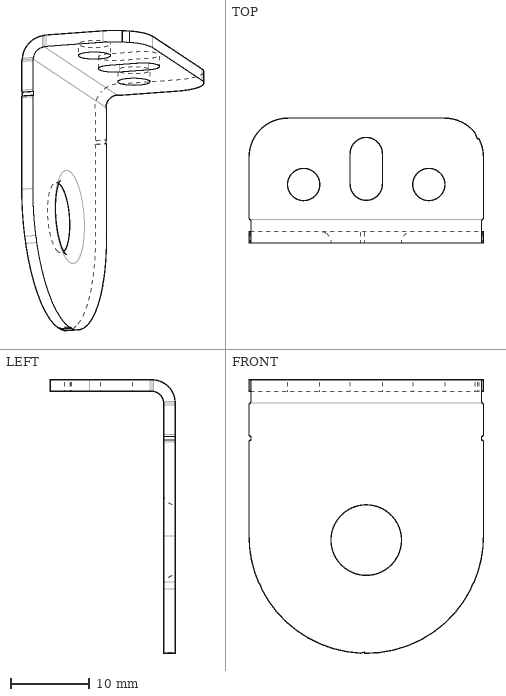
import cadquery as cq
import math

width = 30.0
height = 35.0
depth = 16.0
thickness = 1.5
bend_outer_radius = 3.0
bend_inner_radius = bend_outer_radius - thickness
half_width = width / 2

wall_hole_diameter = 9.0
wall_hole_drop = 20.5
wall_hole_rear_radius = 1.47

flange_corner_radius = 5.0
flange_hole_y = 7.5
small_hole_diameter = 4.1
small_hole_spacing = 16.0
slot_length = 8.0
slot_width = 4.1
slot_y = 9.5

relief_depth = 0.25
relief_half_run = 0.25
edge_notch_drop = 7.5

round_dimple_drop = 26.32
round_dimple_length = 0.98
round_dimple_depth = 0.07
flange_nick_length = 0.9
flange_nick_depth = 0.18
flange_nick_angle = 28.5
bottom_nick_x = -0.2
bottom_nick_length = 0.6
bottom_nick_depth = 0.15


def bent_sheet():
    """L-shaped sheet with a rounded bend, extruded across the width."""
    diagonal = 1 - math.sqrt(0.5)
    outer_mid = bend_outer_radius * diagonal
    inner_mid = thickness + bend_inner_radius * diagonal
    return (
        cq.Workplane("YZ")
        .moveTo(0, -height)
        .lineTo(0, -bend_outer_radius)
        .threePointArc((outer_mid, -outer_mid), (bend_outer_radius, 0))
        .lineTo(depth, 0)
        .lineTo(depth, -thickness)
        .lineTo(bend_outer_radius, -thickness)
        .threePointArc((inner_mid, -inner_mid), (thickness, -bend_outer_radius))
        .lineTo(thickness, -height)
        .close()
        .extrude(half_width, both=True)
    )


def relief_tool(plane, start, end, thick):
    """Cutter for a left-edge relief on local axes.

    The edge lies on local x = 0 with material on the +x side. The S-shaped
    entry is centred on local y = start. The cutter then runs past local y = end.
    """
    half_depth = relief_depth / 2
    radius = (relief_half_run**2 + half_depth**2) / relief_depth
    half_sweep = math.asin(relief_half_run / radius) / 2
    mid_run = radius * math.sin(half_sweep)
    mid_rise = radius * (1 - math.cos(half_sweep))
    first = start - relief_half_run
    last = start + relief_half_run
    return (
        cq.Workplane(plane)
        .moveTo(0, first)
        .threePointArc((mid_rise, first + mid_run), (half_depth, start))
        .threePointArc((relief_depth - mid_rise, last - mid_run), (relief_depth, last))
        .lineTo(relief_depth, end + relief_half_run)
        .lineTo(-relief_depth, end + relief_half_run)
        .lineTo(-relief_depth, first)
        .close()
        .extrude(thick)
    )


def both_sides(tool):
    return tool.union(tool.mirror("YZ"))


def bend_relief():
    """Narrows the bend slightly, with soft steps where it meets the flat legs."""
    reach = bend_outer_radius - relief_half_run
    wall_plane = cq.Plane((-half_width, reach, 0), (1, 0, 0), (0, -1, 0))
    wall_tool = relief_tool(wall_plane, -bend_outer_radius, 0, reach)
    flange_plane = cq.Plane((-half_width, 0, 0), (1, 0, 0), (0, 0, -1))
    flange_tool = relief_tool(flange_plane, -bend_outer_radius, -reach, reach)
    return both_sides(wall_tool.union(flange_tool))


def notch_tool():
    """Symmetric shallow notch through the wall, centred on the origin of its edge."""
    plane = cq.Plane((0, thickness, 0), (1, 0, 0), (0, -1, 0))
    half = relief_tool(plane, -relief_half_run, 0, thickness)
    return half.union(half.mirror("XY"))


def wall_outline():
    """Wall with a full-round lower end; the upper part leaves the flange untouched."""
    return (
        cq.Workplane("XZ")
        .moveTo(-half_width, 0)
        .lineTo(-half_width, half_width - height)
        .threePointArc((0, -height), (half_width, half_width - height))
        .lineTo(half_width, 0)
        .close()
        .extrude(-depth)
    )


def flange_holes():
    pair = (
        cq.Workplane("XY")
        .pushPoints([(side * small_hole_spacing / 2, flange_hole_y) for side in (-1, 1)])
        .circle(small_hole_diameter / 2)
        .extrude(-thickness)
    )
    slot = cq.Workplane("XY").center(0, slot_y).slot2D(slot_length, slot_width, 90).extrude(-thickness)
    return pair.union(slot)


def wall_hole():
    """Straight-sided cutter; its rear edge is rounded after cutting."""
    return (
        cq.Workplane("XZ")
        .center(0, -wall_hole_drop)
        .circle(wall_hole_diameter / 2)
        .extrude(-thickness)
    )


def round_dimple():
    """Very shallow hollow in the left of the full-round lower edge."""
    round_centre_drop = height - half_width
    angle = math.asin((round_dimple_drop - round_centre_drop) / half_width)
    half_length = round_dimple_length / 2
    cutter_radius = (half_length**2 + round_dimple_depth**2) / (2 * round_dimple_depth)
    centre_distance = half_width - round_dimple_depth + cutter_radius
    return (
        cq.Workplane("XZ")
        .center(-centre_distance * math.cos(angle), -round_centre_drop - centre_distance * math.sin(angle))
        .circle(cutter_radius)
        .extrude(-thickness)
    )


def flange_nick():
    """Wedge in the right flange corner that deepens clockwise to a radial step."""
    centre_x = half_width - flange_corner_radius
    centre_y = depth - flange_corner_radius
    radius = flange_corner_radius
    end_angle = math.radians(flange_nick_angle)
    start_angle = end_angle + flange_nick_length / radius

    def polar(distance, angle):
        return (centre_x + distance * math.cos(angle), centre_y + distance * math.sin(angle))

    return (
        cq.Workplane("XY")
        .moveTo(*polar(radius, start_angle))
        .lineTo(*polar(radius - flange_nick_depth, end_angle))
        .lineTo(*polar(radius + flange_nick_depth, end_angle))
        .lineTo(*polar(radius + flange_nick_depth, start_angle))
        .close()
        .extrude(-thickness)
    )


def bottom_nick():
    """Nick just left of the lowest point, with its step towards the middle."""
    centre_z = half_width - height
    step_z = centre_z - math.sqrt(half_width**2 - bottom_nick_x**2)
    return (
        cq.Workplane("XZ")
        .moveTo(bottom_nick_x - bottom_nick_length, step_z)
        .lineTo(bottom_nick_x, step_z + bottom_nick_depth)
        .lineTo(bottom_nick_x, step_z - bottom_nick_depth)
        .lineTo(bottom_nick_x - bottom_nick_length, step_z - bottom_nick_depth)
        .close()
        .extrude(-thickness)
    )


result = bent_sheet().intersect(wall_outline())
result = result.edges("|Z and >Y").fillet(flange_corner_radius)
result = result.cut(flange_holes()).cut(wall_hole())
rear_rim = cq.selectors.NearestToPointSelector((0, thickness, -wall_hole_drop))
result = result.edges("%CIRCLE").edges(rear_rim).fillet(wall_hole_rear_radius)
result = result.cut(bend_relief())

edge_notch = notch_tool().translate((-half_width, 0, -edge_notch_drop))
result = result.cut(both_sides(edge_notch)).cut(both_sides(round_dimple()))
result = result.cut(flange_nick()).cut(bottom_nick())